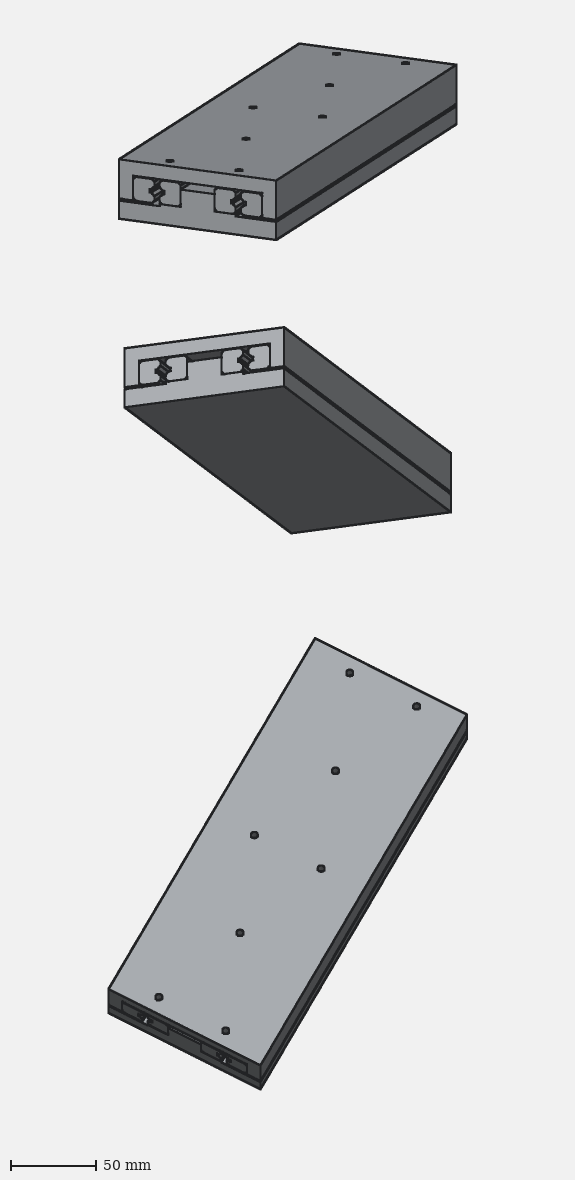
import cadquery as cq

LENGTH = 254.0
WIDTH = 101.5
HEIGHT = 36.5

RAIL_BOTTOM = 12.5
RAIL_WIDTH = 13.7
RAIL_HEIGHT = 14.7
RAIL_CHAMFER = 1.5
RAIL_GAP = 3.3
GROOVE_HALF_OPENING = 3.0
RELIEF_WIDTH = 2.0
RELIEF_DEPTH = 3.0

BASE_THICKNESS = 11.2
SEAT_TOP = RAIL_BOTTOM
PEDESTAL_TOP = 23.0
PEDESTAL_HALF_WIDTH = 11.0
SEAT_HALF_WIDTH = PEDESTAL_HALF_WIDTH + RAIL_WIDTH

CARRIAGE_BOTTOM = RAIL_BOTTOM
CARRIAGE_TOP_THICKNESS = 9.0
CEILING = HEIGHT - CARRIAGE_TOP_THICKNESS
CHANNEL_HALF_WIDTH = SEAT_HALF_WIDTH + RAIL_GAP + RAIL_WIDTH

HOLE_DIAMETER = 4.0
HOLE_X = 22.4
HOLE_Y = 117.3

SIDES = (-1, 1)


def extrude_along_slide(outline):
    """Extrude an XZ outline over the full length, centred on Y = 0."""
    return outline.extrude(LENGTH / 2, both=True)


def block(width, bottom, top):
    """Full-length block centred on X = 0 between two heights."""
    outline = cq.Workplane("XZ").center(0, (bottom + top) / 2).rect(width, top - bottom)
    return extrude_along_slide(outline)


def make_base():
    plate = block(WIDTH, 0, BASE_THICKNESS)
    seat = block(2 * SEAT_HALF_WIDTH, 0, SEAT_TOP)
    pedestal = block(2 * PEDESTAL_HALF_WIDTH, 0, PEDESTAL_TOP)
    return plate.union(seat).union(pedestal)


def make_carriage():
    body = block(WIDTH, CARRIAGE_BOTTOM, HEIGHT)
    channel = block(2 * CHANNEL_HALF_WIDTH, CARRIAGE_BOTTOM, CEILING)
    hole_points = [(side * HOLE_X, y) for side in SIDES for y in (-HOLE_Y, 0, HOLE_Y)]
    hole_points += [(0, side * HOLE_Y / 2) for side in SIDES]
    holes = (
        cq.Workplane("XY", origin=(0, 0, CEILING))
        .pushPoints(hole_points)
        .circle(HOLE_DIAMETER / 2)
        .extrude(CARRIAGE_TOP_THICKNESS)
    )
    return body.cut(channel).cut(holes)


def make_rail(back_x, facing):
    """Chamfered rail whose relieved V groove opens toward +X (facing 1) or -X (facing -1)."""
    front_x = back_x + facing * RAIL_WIDTH
    middle_x = (back_x + front_x) / 2
    middle_z = RAIL_BOTTOM + RAIL_HEIGHT / 2
    outline = cq.Workplane("XZ").center(middle_x, middle_z).rect(RAIL_WIDTH, RAIL_HEIGHT)
    bar = extrude_along_slide(outline).edges("|Y").chamfer(RAIL_CHAMFER)
    groove = cq.Workplane("XZ").polyline([
        (front_x, middle_z - GROOVE_HALF_OPENING),
        (front_x - facing * GROOVE_HALF_OPENING, middle_z),
        (front_x, middle_z + GROOVE_HALF_OPENING),
    ]).close()
    relief = (
        cq.Workplane("XZ")
        .center(front_x - facing * RELIEF_DEPTH / 2, middle_z)
        .rect(RELIEF_DEPTH, RELIEF_WIDTH)
    )
    return bar.cut(extrude_along_slide(groove)).cut(extrude_along_slide(relief))


base = make_base()
carriage = make_carriage()
inner_rails = [make_rail(side * PEDESTAL_HALF_WIDTH, side) for side in SIDES]
outer_rails = [make_rail(side * CHANNEL_HALF_WIDTH, -side) for side in SIDES]

rails = [rail.val() for rail in inner_rails + outer_rails]
result = cq.Compound.makeCompound([base.val(), carriage.val(), *rails])